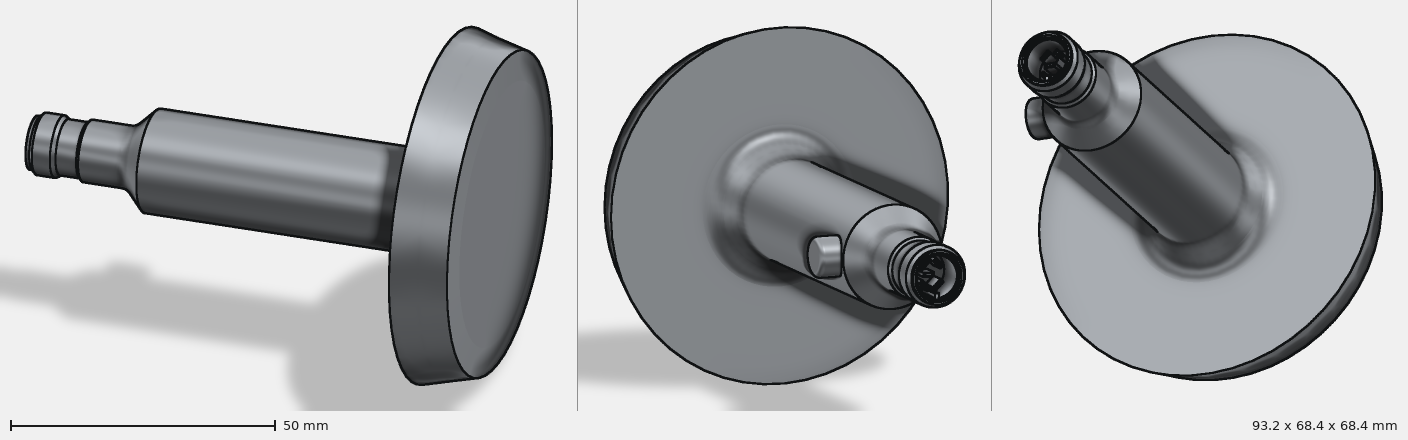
import cadquery as cq
import math

total_length = 93.2

tip_radius = 10.4 / 2
tip_length = 0.7
collar_radius = 12.0 / 2
collar_end = 5.1
groove_radius = 10.8 / 2
groove_start = 6.1
groove_end = 10.2

body_radius = 20.0 / 2
body_start = 23.7
neck_fillet = 3.0
neck_angle = math.radians(45)

root_fillet = 4.0
root_angle = math.radians(30)
root_cone_start_radius = body_radius + root_fillet * (1 - math.cos(root_angle))
root_end_radius = 15.6

flange_start = 82.0
flange_rim_end = 92.6
flange_radius = 34.2
flange_taper = math.radians(15)
flange_face_radius = 25.5

mouth_radius = 9.4 / 2
step_radius = 4.4
step_depth = 0.8
socket_radius = 4.1
socket_depth = 7.5
key_width = 0.8
key_height = 0.9
contact_length = 2.1
contact_width = 0.8
contact_tip_depth = 3.45
contact_chamfer = 0.2
contact_offset_y = 1.4
contact_offset_z = 2.05
contact_tilt = 45
center_contact_offset = 0.6

button_x = 28.4
button_radius = 3.9
button_top = 14.2
button_fillet = 1.0


def arc_middle(center, radius, start_angle, end_angle):
    """Point halfway along an arc of the turned profile."""
    angle = (start_angle + end_angle) / 2
    return (center[0] + radius * math.cos(angle), center[1] + radius * math.sin(angle))


def turned_solid():
    """Connector, body and flange as one revolve about the X axis."""
    neck_cone_radius = collar_radius + neck_fillet * (1 - math.cos(neck_angle))
    neck_cone_start = body_start - (body_radius - neck_cone_radius) / math.tan(neck_angle)
    neck_start = neck_cone_start - neck_fillet * math.sin(neck_angle)
    neck_center = (neck_start, collar_radius + neck_fillet)

    root_cone_end = flange_start - root_fillet * (1 - math.sin(root_angle))
    root_cone_end_radius = root_end_radius - root_fillet * math.cos(root_angle)
    root_cone_length = (root_cone_end_radius - root_cone_start_radius) / math.tan(root_angle)
    root_cone_start = root_cone_end - root_cone_length
    root_start = root_cone_start - root_fillet * math.sin(root_angle)
    root_center = (root_start, body_radius + root_fillet)
    flange_center = (flange_start - root_fillet, root_end_radius)

    down = -math.pi / 2
    rim_end_radius = flange_radius - (flange_rim_end - flange_start) * math.tan(flange_taper)
    collar_chamfer = collar_radius - tip_radius
    groove_chamfer = collar_radius - groove_radius
    return (
        cq.Workplane("XY")
        .lineTo(0, tip_radius)
        .lineTo(tip_length, tip_radius)
        .lineTo(tip_length + collar_chamfer, collar_radius)
        .lineTo(collar_end, collar_radius)
        .lineTo(groove_start, groove_radius)
        .lineTo(groove_end, groove_radius)
        .lineTo(groove_end + groove_chamfer, collar_radius)
        .lineTo(neck_start, collar_radius)
        .threePointArc(
            arc_middle(neck_center, neck_fillet, down, down + neck_angle),
            (neck_cone_start, neck_cone_radius),
        )
        .lineTo(body_start, body_radius)
        .lineTo(root_start, body_radius)
        .threePointArc(
            arc_middle(root_center, root_fillet, down, down + root_angle),
            (root_cone_start, root_cone_start_radius),
        )
        .lineTo(root_cone_end, root_cone_end_radius)
        .threePointArc(
            arc_middle(flange_center, root_fillet, down + root_angle, 0),
            (flange_start, root_end_radius),
        )
        .lineTo(flange_start, flange_radius)
        .lineTo(flange_rim_end, rim_end_radius)
        .lineTo(total_length, flange_face_radius)
        .lineTo(total_length, 0)
        .close()
        .revolve(360, (0, 0, 0), (1, 0, 0))
    )


def button():
    """Round button on the +Y side of the body, with a rounded top edge."""
    return (
        cq.Workplane("XZ")
        .center(button_x, 0)
        .circle(button_radius)
        .extrude(-button_top)
        .faces(">Y")
        .edges()
        .fillet(button_fillet)
    )


def socket():
    """Blind bore in the connector with a tapered, stepped mouth."""
    return (
        cq.Workplane("XY")
        .lineTo(0, mouth_radius)
        .lineTo(mouth_radius - step_radius, step_radius)
        .lineTo(step_depth, step_radius)
        .lineTo(step_depth, socket_radius)
        .lineTo(socket_depth, socket_radius)
        .lineTo(socket_depth, 0)
        .close()
        .revolve(360, (0, 0, 0), (1, 0, 0))
    )


def contact(y, z, tilt):
    """Flat contact blade with a chamfered tip, standing on the socket floor."""
    blade_length = socket_depth - contact_tip_depth
    return (
        cq.Workplane("XY")
        .box(blade_length, contact_length, contact_width, centered=(False, True, True))
        .faces("<X")
        .edges()
        .chamfer(contact_chamfer)
        .rotate((0, 0, 0), (1, 0, 0), tilt)
        .translate((contact_tip_depth, y, z))
    )


def key():
    """Coding rib along the -Z side of the socket."""
    key_top = socket_radius - key_height
    return (
        cq.Workplane("XY")
        .box(socket_depth - step_depth, key_width, step_radius - key_top, centered=(False, True, False))
        .translate((step_depth, 0, -step_radius))
    )


result = turned_solid().union(button()).cut(socket()).union(key())
result = result.union(contact(center_contact_offset, 0, 0))
for side_y in (-1, 1):
    for side_z in (-1, 1):
        tilt = -contact_tilt * side_y * side_z
        result = result.union(contact(side_y * contact_offset_y, side_z * contact_offset_z, tilt))